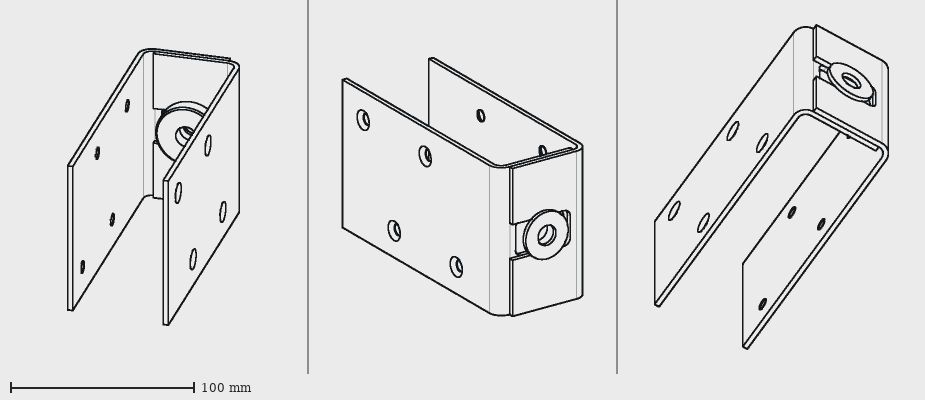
import cadquery as cq

width = 58.0
height = 88.0
total_length = 155.5

sheet = 3.0
bracket_length = 150.0
bend_outer_radius = 8.0
bend_inner_radius = bend_outer_radius - sheet

notch_height = 21.1
notch_end = 17.1
notch_corner_radius = 4.2

screw_hole_diameter = 6.7
countersink_diameter = 11.5
countersink_angle = 90.0
hole_pitch = 60.0
first_hole_setback = 40.0
upper_row_z = 28.0
row_spacing = 55.0

disc_bore = 11.8
front_disc_diameter = 35.0
front_disc_thickness = 8.2
front_disc_chamfer = 1.0
rear_disc_diameter = 28.0
rear_disc_thickness = total_length - bracket_length - sheet

plate_interface_y = -sheet
plate_front_y = -2 * sheet


def bracket_sheet():
    """L-shaped bent sheet with its side plate on -X and its end plate at Y = 0."""
    side_x = -width / 2
    bend_x = side_x + bend_outer_radius
    free_edge_x = -bend_x
    return (
        cq.Workplane("XY")
        .workplane(offset=-height / 2)
        .moveTo(side_x, -bracket_length)
        .lineTo(side_x, -bend_outer_radius)
        .radiusArc((bend_x, 0), bend_outer_radius)
        .lineTo(free_edge_x, 0)
        .lineTo(free_edge_x, -sheet)
        .lineTo(bend_x, -sheet)
        .radiusArc((side_x + sheet, -bend_outer_radius), -bend_inner_radius)
        .lineTo(side_x + sheet, -bracket_length)
        .close()
        .extrude(height)
    )


def notch_cutter():
    """Block with a rounded closed end, reaching past the end plate's free edge."""
    return (
        cq.Workplane("XY")
        .box(notch_end + width, 2 * sheet, notch_height, centered=(False, True, True))
        .edges("<X and |Y")
        .fillet(notch_corner_radius)
        .translate((-notch_end, -sheet / 2, 0))
    )


def screw_hole_points():
    """Hole centres as (Y, Z); the lower row is shifted by half a pitch."""
    rows = [(0, upper_row_z), (hole_pitch / 2, upper_row_z - row_spacing)]
    return [
        (-first_hole_setback - shift - column * hole_pitch, z)
        for shift, z in rows
        for column in range(2)
    ]


def make_bracket():
    side_plane = cq.Plane(origin=(-width / 2, 0, 0), xDir=(0, -1, 0), normal=(-1, 0, 0))
    return (
        bracket_sheet()
        .cut(notch_cutter())
        .copyWorkplane(cq.Workplane(side_plane))
        .pushPoints([(-y, z) for y, z in screw_hole_points()])
        .cskHole(screw_hole_diameter, countersink_diameter, countersink_angle, depth=2 * sheet)
    )


def make_disc(diameter, thickness, back_y):
    """Bored disc extending from back_y toward -Y."""
    return (
        cq.Workplane("XZ", origin=(0, back_y, 0))
        .circle(diameter / 2)
        .circle(disc_bore / 2)
        .extrude(thickness)
    )


def make_front_disc():
    outer_rim = cq.selectors.RadiusNthSelector(-1)
    return (
        make_disc(front_disc_diameter, front_disc_thickness, plate_front_y)
        .faces("<Y")
        .edges(outer_rim)
        .chamfer(front_disc_chamfer)
    )


def make_rear_disc():
    return make_disc(rear_disc_diameter, rear_disc_thickness, rear_disc_thickness)


brackets = []
for turn, offset_y in [(0, 0), (180, plate_interface_y)]:
    bracket = make_bracket().rotate((0, 0, 0), (0, 1, 0), turn).translate((0, offset_y, 0))
    brackets.append(bracket.val())

front_disc = make_front_disc()
rear_disc = make_rear_disc()

result = cq.Compound.makeCompound([*brackets, front_disc.val(), rear_disc.val()])